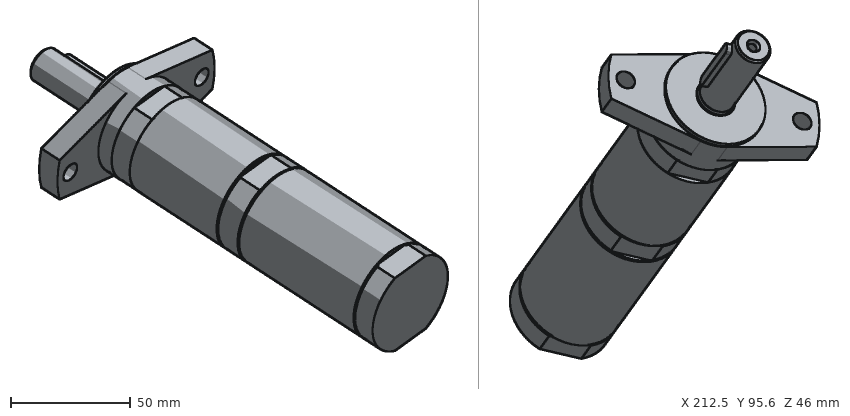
import cadquery as cq
import math

total_length = 212.5
body_diameter = 46.0
body_radius = body_diameter / 2

shaft_diameter = 16.0
shaft_end_chamfer = 0.8
centre_hole_diameter = 4.0
centre_hole_depth = 8.5
countersink_diameter = 6.0
countersink_angle = 60
collar_diameter = 17.5
collar_start = 41.2
flare_diameter = 17.0
flare_start = 39.7

key_start = 4.2
key_length = 29.8
key_width = 4.9
key_top = 10.2

pilot_diameter = 45.0
pilot_start = 41.6
flange_start = 43.5
flange_thickness = 10.6
flange_span = 95.6
flange_end_width = 22.5
bolt_hole_diameter = 8.3
bolt_hole_spacing = 80.0

neck_diameter = 45.7
neck_start = 61.8
neck_end = 72.2

groove_diameter = 45.0
groove_width = 0.6
middle_front_groove = 122.5
middle_rear_groove = 134.5
rear_groove = 201.5

reduced_rings = [(neck_diameter, neck_start, neck_end)] + [
    (groove_diameter, start, start + groove_width)
    for start in (middle_front_groove, middle_rear_groove, rear_groove)
]

flat_height = 41.9
flat_sections = [
    (neck_start, neck_end),
    (middle_front_groove + groove_width, middle_rear_groove),
    (rear_groove, total_length),
]


def cylinder(diameter, start, end):
    """Cylinder on the X axis between two stations."""
    return cq.Workplane("YZ", origin=(start, 0, 0)).circle(diameter / 2).extrude(end - start)


def make_shaft():
    shaft = cylinder(shaft_diameter, 0, flange_start).faces("<X").chamfer(shaft_end_chamfer)
    flare = (
        cq.Workplane("XY")
        .moveTo(flare_start, 0)
        .lineTo(flare_start, shaft_diameter / 2)
        .lineTo(collar_start, flare_diameter / 2)
        .lineTo(collar_start, 0)
        .close()
        .revolve(360, (0, 0, 0), (1, 0, 0))
    )
    collar = cylinder(collar_diameter, collar_start, flange_start)
    return shaft.union(flare).union(collar)


def make_key():
    key_centre = key_start + key_length / 2
    plane = cq.Workplane("XZ", origin=(key_centre, 0, 0))
    return plane.slot2D(key_length, key_width).extrude(-key_top)


def make_flange():
    """Plate whose straight sides run tangent to the body, with ends round about the axis."""
    end_radius = flange_span / 2
    corner_z = flange_end_width / 2
    corner_y = math.sqrt(end_radius**2 - corner_z**2)
    tangent_angle = math.asin(corner_z / end_radius) + math.acos(body_radius / end_radius)
    tangent_y = body_radius * math.cos(tangent_angle)
    tangent_z = body_radius * math.sin(tangent_angle)
    plate = (
        cq.Workplane("YZ", origin=(flange_start, 0, 0))
        .moveTo(corner_y, -corner_z)
        .threePointArc((end_radius, 0), (corner_y, corner_z))
        .lineTo(tangent_y, tangent_z)
        .threePointArc((0, body_radius), (-tangent_y, tangent_z))
        .lineTo(-corner_y, corner_z)
        .threePointArc((-end_radius, 0), (-corner_y, -corner_z))
        .lineTo(-tangent_y, -tangent_z)
        .threePointArc((0, -body_radius), (tangent_y, -tangent_z))
        .close()
        .extrude(flange_thickness)
    )
    return plate.faces("<X").workplane().rarray(bolt_hole_spacing, 2.1, 2, 1).hole(bolt_hole_diameter)


def cut_flats(body, start, end):
    """Trim the body to the flat height between two stations."""
    clear_width = 2 * body_diameter
    band = cylinder(clear_width, start, end)
    kept = cq.Workplane("YZ", origin=(start, 0, 0)).rect(clear_width, flat_height).extrude(end - start)
    return body.cut(band.cut(kept))


def make_body():
    body = cylinder(body_diameter, flange_start, total_length)
    for diameter, start, end in reduced_rings:
        body = body.cut(cylinder(body_diameter, start, end).cut(cylinder(diameter, start, end)))
    for start, end in flat_sections:
        body = cut_flats(body, start, end)
    return body


def make_centre_hole():
    """Countersunk, flat-bottomed hole in the end of the shaft."""
    hole = cylinder(centre_hole_diameter, 0, centre_hole_depth)
    countersink_radius = countersink_diameter / 2
    countersink_length = countersink_radius / math.tan(math.radians(countersink_angle / 2))
    countersink = cq.Workplane("XY").lineTo(0, countersink_radius).lineTo(countersink_length, 0).close()
    return hole.union(countersink.revolve(360, (0, 0, 0), (1, 0, 0)))


result = (
    make_body()
    .union(make_flange())
    .union(cylinder(pilot_diameter, pilot_start, flange_start))
    .union(make_shaft())
    .union(make_key())
    .cut(make_centre_hole())
)